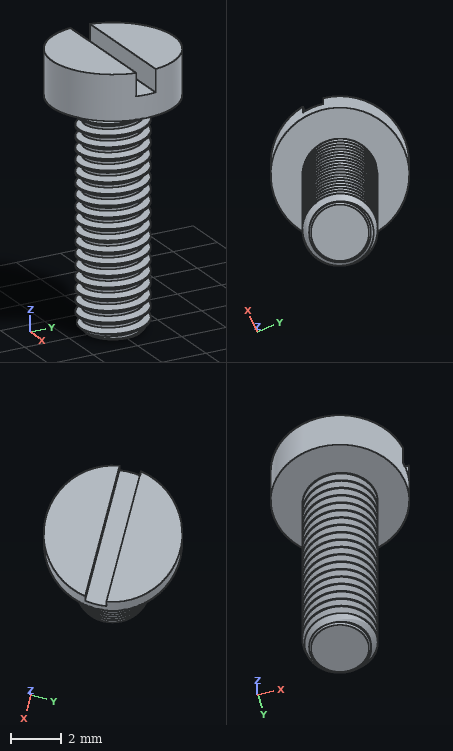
import cadquery as cq
import math


thread_diameter = 3.0
pitch = 0.5
shank_length = 10.0
head_diameter = 5.5
head_height = 2.0
slot_width = 0.875
slot_depth = head_height / 2
tip_diameter = 2.3
crest_height = 0.4

flank_half_angle = 30.0
crest_flat = pitch / 8
root_flat = pitch / 4
flank_slope = math.tan(math.radians(flank_half_angle))
thread_depth = (pitch - crest_flat - root_flat) / 2 / flank_slope

crest_radius = thread_diameter / 2
core_radius = crest_radius - thread_depth
head_radius = head_diameter / 2
tip_radius = tip_diameter / 2

overshoot_turns = 2
first_turn = -overshoot_turns
last_turn = math.ceil(shank_length / pitch) + overshoot_turns
envelope_clearance = 0.05


def revolved(radius_height_points):
    """Solid of revolution about Z from a closed outline of (radius, height) points."""
    outline = cq.Workplane("XZ").polyline(radius_height_points).close()
    return outline.revolve(360, (0, 0, 0), (0, 1, 0))


def make_screw_core():
    """Head and plain core in one piece, with the pointed end chamfered at 45 degrees."""
    core = revolved([
        (0, 0),
        (tip_radius, 0),
        (core_radius, core_radius - tip_radius),
        (core_radius, shank_length),
        (head_radius, shank_length),
        (head_radius, shank_length + head_height),
        (0, shank_length + head_height),
    ])
    slot = (
        cq.Workplane("XY")
        .workplane(offset=shank_length + head_height - slot_depth)
        .rect(2 * head_diameter, slot_width)
        .extrude(2 * slot_depth)
    )
    return core.cut(slot)


def make_ridge():
    """Right-hand helical ridge with a trapezoidal section, built turn by turn from ruled faces."""
    half_crest = crest_flat / 2
    half_base = (pitch - root_flat) / 2
    section = [
        (core_radius, -half_base),
        (crest_radius, -half_crest),
        (crest_radius, half_crest),
        (core_radius, half_base),
    ]

    def helix_turn(corner, turn):
        radius, height = corner
        start = cq.Vector(0, 0, crest_height + turn * pitch + height)
        return cq.Wire.makeHelix(pitch, pitch, radius, center=start)

    def end_cap(turn):
        base_height = crest_height + turn * pitch
        corners = [cq.Vector(radius, 0, base_height + height) for radius, height in section]
        return cq.Face.makeFromWires(cq.Wire.makePolygon(corners, close=True))

    faces = [end_cap(first_turn), end_cap(last_turn)]
    for turn in range(first_turn, last_turn):
        for corner, next_corner in zip(section, section[1:] + section[:1]):
            edge_helix = helix_turn(corner, turn)
            next_helix = helix_turn(next_corner, turn)
            faces.append(cq.Face.makeRuledSurface(edge_helix, next_helix))
    return cq.Workplane(obj=cq.Solid.makeSolid(cq.Shell.makeShell(faces)))


def make_thread_envelope():
    """Round bar just wider than the crests, ending at the head and at the 45 degree tip chamfer."""
    outer_radius = crest_radius + envelope_clearance
    return revolved([
        (0, 0),
        (tip_radius, 0),
        (outer_radius, outer_radius - tip_radius),
        (outer_radius, shank_length),
        (0, shank_length),
    ])


screw_core = make_screw_core()
thread = make_ridge().intersect(make_thread_envelope())

result = cq.Compound.makeCompound([screw_core.solids().val(), *thread.solids().vals()])